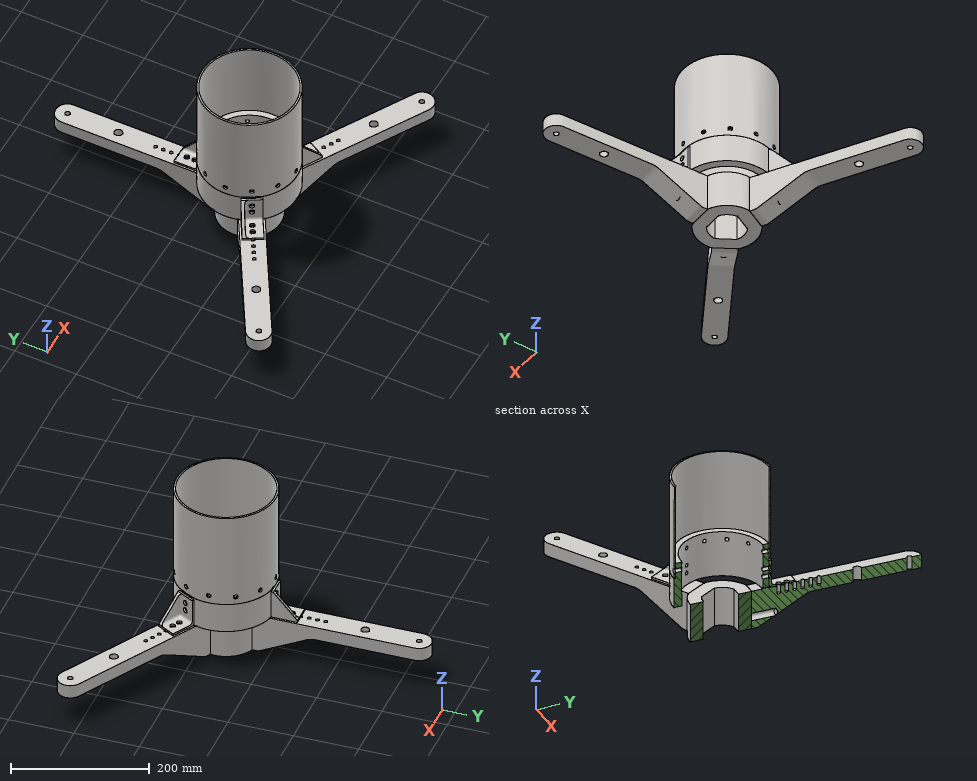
import cadquery as cq
import math

OVERALL_WIDTH = 549.5
HOLE_PITCH = 12.7
LEG_ANGLES = (90, 210, 330)

TUBE_OUTER_DIA = 152.0
TUBE_INNER_DIA = 146.0
TUBE_LENGTH = 152.0
RING_INNER_DIA = 127.0
RING_HEIGHT = 48.0
SPIGOT_HEIGHT = 25.5
TUBE_HOLE_DIA = 6.5
TUBE_HOLE_COUNT = 12
TUBE_HOLE_LIFT = HOLE_PITCH

HUB_HEIGHT = 62.5
HUB_DIA = 101.0
HUB_FLAT_DISTANCE = 46.0
HUB_WALL = 21.0
HUB_CORNER_RADIUS = 14.5

LEG_WIDTH = 38.5
LEG_THICKNESS = 22.0
LEG_FOOT_END = 56.0
LEG_SLOPE_END = 136.5
LEG_SLOPE_RADIUS = 25.5
LEG_FOOT_RADIUS = 12.5
LEG_HOLE_COUNT = 6
LEG_HOLE_DIA = 5.1
LEG_HOLE_DEPTH = 12.5
DRILL_POINT_ANGLE = 118
LEG_MID_HOLE_RADIUS = 212.5
LEG_MID_HOLE_DIA = 12.5
LEG_TIP_HOLE_DIA = 7.5
LEG_BORE_DIA = 11.5
LEG_BORE_END = 84.0
LEG_BORE_DEPTH = 43.0

BRACKET_DEPTH = 40.0
BRACKET_WIDTH = 32.0
BRACKET_HEIGHT = 44.5
BRACKET_SHEET = 3.5
BRACKET_GUSSET = 5.1
BRACKET_FILLET = 5.1
BRACKET_OUTER_RADIUS = 2.0
BRACKET_HOLE_DIA = 7.5
RING_HOLE_DIA = 5.4
BRACKET_HOLE_HEIGHT = 19.0

TUBE_RADIUS = TUBE_OUTER_DIA / 2
LEG_TIP_RADIUS = (OVERALL_WIDTH - LEG_WIDTH) / 2 / math.cos(math.radians(30))
RING_FLAT_DISTANCE = math.sqrt(TUBE_RADIUS**2 - (BRACKET_WIDTH / 2) ** 2)
BRACKET_END = RING_FLAT_DISTANCE + BRACKET_DEPTH
LEG_HOLE_RADII = [TUBE_RADIUS + HOLE_PITCH * (i + 1) for i in range(LEG_HOLE_COUNT)]
BRACKET_HOLE_RADII = LEG_HOLE_RADII[:2]
BRACKET_HOLE_HEIGHTS = (BRACKET_HOLE_HEIGHT, BRACKET_HOLE_HEIGHT + HOLE_PITCH)
TUBE_HOLE_Z = RING_HEIGHT + TUBE_HOLE_LIFT


def rod(start, direction, diameter, length):
    """A solid cylinder from a start point along a direction."""
    return cq.Workplane(cq.Solid.makeCylinder(diameter / 2, length, cq.Vector(*start), cq.Vector(*direction)))


def drilled_hole(start, direction, diameter, depth):
    """A blind hole of the given full-diameter depth, ending in a drill point."""
    axis = cq.Vector(*direction)
    floor = cq.Vector(*start) + axis * depth
    point_length = diameter / 2 / math.tan(math.radians(DRILL_POINT_ANGLE / 2))
    point = cq.Solid.makeCone(diameter / 2, 0, point_length, floor, axis)
    return rod(start, direction, diameter, depth).union(cq.Workplane(point))


def on_leg_axis(shape, angle):
    """Turn a shape modelled along +X onto the leg at the given angle."""
    return shape.rotate((0, 0, 0), (0, 0, 1), angle)


def disc(diameter, height, base_z=0.0):
    return cq.Workplane("XY", origin=(0, 0, base_z)).circle(diameter / 2).extrude(height)


def cut_leg_flats(body, flat_distance, bottom_z, top_z):
    """Cut a flat facing each leg, at the given distance from the main axis."""
    for angle in LEG_ANGLES:
        beyond_flat = cq.Workplane("XY", origin=(flat_distance, -TUBE_RADIUS, bottom_z)).box(
            TUBE_OUTER_DIA, TUBE_OUTER_DIA, top_z - bottom_z, centered=False
        )
        body = body.cut(on_leg_axis(beyond_flat, angle))
    return body


def cut_tube_holes(body, diameter):
    """Cut the circle of radial holes that joins the tube to the ring's spigot."""
    for i in range(TUBE_HOLE_COUNT):
        hole = rod((0, 0, TUBE_HOLE_Z), (1, 0, 0), diameter, TUBE_OUTER_DIA)
        body = body.cut(on_leg_axis(hole, i * 360 / TUBE_HOLE_COUNT))
    return body


def make_tube():
    tube = disc(TUBE_OUTER_DIA, TUBE_LENGTH, RING_HEIGHT).cut(disc(TUBE_INNER_DIA, TUBE_LENGTH, RING_HEIGHT))
    return cut_tube_holes(tube, TUBE_HOLE_DIA)


def make_ring():
    """Base ring, with a spigot that fits inside the tube and screw holes behind each bracket."""
    full_height = RING_HEIGHT + SPIGOT_HEIGHT
    ring = cut_leg_flats(disc(TUBE_OUTER_DIA, RING_HEIGHT), RING_FLAT_DISTANCE, 0, RING_HEIGHT)
    ring = ring.union(disc(TUBE_INNER_DIA, full_height))
    ring = cut_tube_holes(ring.cut(disc(RING_INNER_DIA, full_height)), RING_HOLE_DIA)
    for angle in LEG_ANGLES:
        for height in BRACKET_HOLE_HEIGHTS:
            hole = rod((0, 0, height), (1, 0, 0), RING_HOLE_DIA, TUBE_OUTER_DIA)
            ring = ring.cut(on_leg_axis(hole, angle))
    return ring


def make_hub():
    """Hub ring with a flat for each leg, and an opening that leaves an even wall."""
    outside = disc(HUB_DIA, HUB_HEIGHT, -HUB_HEIGHT)
    outside = cut_leg_flats(outside, HUB_FLAT_DISTANCE, -HUB_HEIGHT, 0).edges("|Z").fillet(HUB_CORNER_RADIUS)
    opening = disc(HUB_DIA - 2 * HUB_WALL, HUB_HEIGHT, -HUB_HEIGHT)
    opening = cut_leg_flats(opening, HUB_FLAT_DISTANCE - HUB_WALL, -HUB_HEIGHT, 0)
    return outside.cut(opening)


def make_leg(angle):
    """Leg with a deep root at the hub, sloping to a thin arm with a round tip."""
    tip_end = LEG_TIP_RADIUS + LEG_WIDTH / 2
    half_width = LEG_WIDTH / 2
    leg = (
        cq.Workplane("XZ")
        .moveTo(HUB_FLAT_DISTANCE, 0)
        .lineTo(tip_end, 0)
        .lineTo(tip_end, -LEG_THICKNESS)
        .lineTo(LEG_SLOPE_END, -LEG_THICKNESS)
        .lineTo(LEG_FOOT_END, -HUB_HEIGHT)
        .lineTo(HUB_FLAT_DISTANCE, -HUB_HEIGHT)
        .close()
        .extrude(half_width, both=True)
    )
    slope_edge = cq.NearestToPointSelector((LEG_SLOPE_END, 0, -LEG_THICKNESS))
    leg = leg.edges(slope_edge).fillet(LEG_SLOPE_RADIUS)
    foot_edge = cq.NearestToPointSelector((LEG_FOOT_END, 0, -HUB_HEIGHT))
    leg = leg.edges(foot_edge).fillet(LEG_FOOT_RADIUS)

    plan = (
        cq.Workplane("XY")
        .moveTo(HUB_FLAT_DISTANCE, -half_width)
        .lineTo(LEG_TIP_RADIUS, -half_width)
        .threePointArc((tip_end, 0), (LEG_TIP_RADIUS, half_width))
        .lineTo(HUB_FLAT_DISTANCE, half_width)
        .close()
        .extrude(-HUB_HEIGHT)
    )
    leg = leg.intersect(plan)

    for radius in LEG_HOLE_RADII:
        leg = leg.cut(drilled_hole((radius, 0, 0), (0, 0, -1), LEG_HOLE_DIA, LEG_HOLE_DEPTH))
    through_holes = ((LEG_MID_HOLE_RADIUS, LEG_MID_HOLE_DIA), (LEG_TIP_RADIUS, LEG_TIP_HOLE_DIA))
    for radius, diameter in through_holes:
        leg = leg.cut(rod((radius, 0, 0), (0, 0, -1), diameter, HUB_HEIGHT))

    bore_length = LEG_BORE_END - HUB_FLAT_DISTANCE
    leg = leg.cut(drilled_hole((HUB_FLAT_DISTANCE, 0, -LEG_BORE_DEPTH), (1, 0, 0), LEG_BORE_DIA, bore_length))
    return on_leg_axis(leg, angle)


def make_bracket(angle):
    """Angle bracket with a sloping gusset along one side and filleted inside corners."""
    bracket = (
        cq.Workplane("XZ", origin=(0, BRACKET_WIDTH / 2, 0))
        .moveTo(RING_FLAT_DISTANCE, 0)
        .lineTo(BRACKET_END, 0)
        .lineTo(BRACKET_END, BRACKET_SHEET)
        .lineTo(RING_FLAT_DISTANCE + BRACKET_SHEET, BRACKET_HEIGHT)
        .lineTo(RING_FLAT_DISTANCE, BRACKET_HEIGHT)
        .close()
        .extrude(BRACKET_WIDTH)
        .edges("|Y and <X and <Z")
        .fillet(BRACKET_OUTER_RADIUS)
    )
    pocket_depth = 2 * BRACKET_DEPTH
    pocket_height = 2 * BRACKET_HEIGHT
    pocket_corner = (RING_FLAT_DISTANCE + BRACKET_SHEET, BRACKET_GUSSET - BRACKET_WIDTH / 2, BRACKET_SHEET)
    pocket = (
        cq.Workplane("XY", origin=pocket_corner)
        .box(pocket_depth, BRACKET_WIDTH, pocket_height, centered=False)
        .edges("(<X and <Y) or (<X and <Z) or (<Y and <Z)")
        .fillet(BRACKET_FILLET)
    )
    bracket = bracket.cut(pocket)
    for radius in BRACKET_HOLE_RADII:
        bracket = bracket.cut(rod((radius, 0, 0), (0, 0, 1), BRACKET_HOLE_DIA, BRACKET_HEIGHT))
    for height in BRACKET_HOLE_HEIGHTS:
        bracket = bracket.cut(rod((RING_FLAT_DISTANCE, 0, height), (1, 0, 0), BRACKET_HOLE_DIA, BRACKET_DEPTH))
    return on_leg_axis(bracket, angle)


tube = make_tube()
ring = make_ring()
hub = make_hub()
legs = [make_leg(angle) for angle in LEG_ANGLES]
brackets = [make_bracket(angle) for angle in LEG_ANGLES]

bodies = [tube, ring, hub, *legs, *brackets]
result = cq.Compound.makeCompound([body.solids().val() for body in bodies])